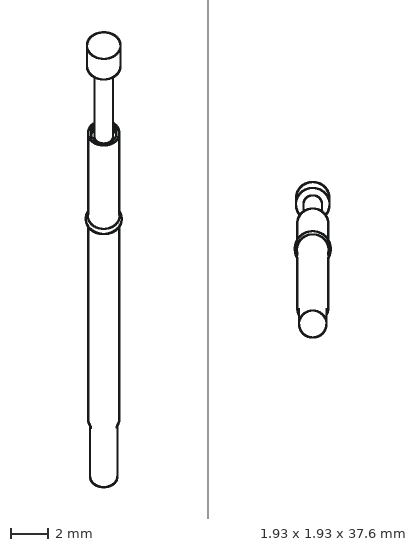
import cadquery as cq

total_height = 37.65
tail_top = 4.62
barrel_bottom = 5.0
collar_middle = 22.5
barrel_top = 30.0

tail_diameter = 1.47
barrel_diameter = 1.68
bore_diameter = 1.38
collar_diameter = 1.93
collar_height = 0.44

body_diameter = 1.36
body_recess = 0.3
shaft_diameter = 1.0
head_diameter = 1.8
head_height = 1.8
cup_depth = head_diameter / 2

bore_bottom = barrel_bottom
body_top = barrel_top - body_recess
head_bottom = total_height - head_height


def revolve_profile(profile):
    """Turn a closed half profile once around the vertical axis."""
    return profile.close().revolve(360, (0, 0), (0, 1))


def build_receptacle():
    """Barrel with a rounded collar, a conical step down to the tail and a blind bore."""
    tail_radius = tail_diameter / 2
    barrel_radius = barrel_diameter / 2
    bore_radius = bore_diameter / 2
    collar_radius = collar_diameter / 2

    half_height = collar_height / 2
    bulge = collar_radius - barrel_radius
    collar_arc_radius = (half_height**2 + bulge**2) / (2 * bulge)

    profile = (
        cq.Workplane("XZ")
        .lineTo(tail_radius, 0)
        .lineTo(tail_radius, tail_top)
        .lineTo(barrel_radius, barrel_bottom)
        .lineTo(barrel_radius, collar_middle - half_height)
        .radiusArc((collar_radius, collar_middle), -collar_arc_radius)
        .radiusArc((barrel_radius, collar_middle + half_height), -collar_arc_radius)
        .lineTo(barrel_radius, barrel_top)
        .lineTo(bore_radius, barrel_top)
        .lineTo(bore_radius, bore_bottom)
        .lineTo(0, bore_bottom)
    )
    return revolve_profile(profile)


def build_probe():
    """Probe body standing on the bore floor, with a shaft and a head hollowed by a conical cup."""
    body_radius = body_diameter / 2
    shaft_radius = shaft_diameter / 2
    head_radius = head_diameter / 2
    profile = (
        cq.Workplane("XZ")
        .moveTo(0, bore_bottom)
        .lineTo(body_radius, bore_bottom)
        .lineTo(body_radius, body_top)
        .lineTo(shaft_radius, body_top)
        .lineTo(shaft_radius, head_bottom)
        .lineTo(head_radius, head_bottom)
        .lineTo(head_radius, total_height)
        .lineTo(0, total_height - cup_depth)
    )
    return revolve_profile(profile)


receptacle = build_receptacle()
probe = build_probe()
result = cq.Compound.makeCompound([receptacle.val(), probe.val()])